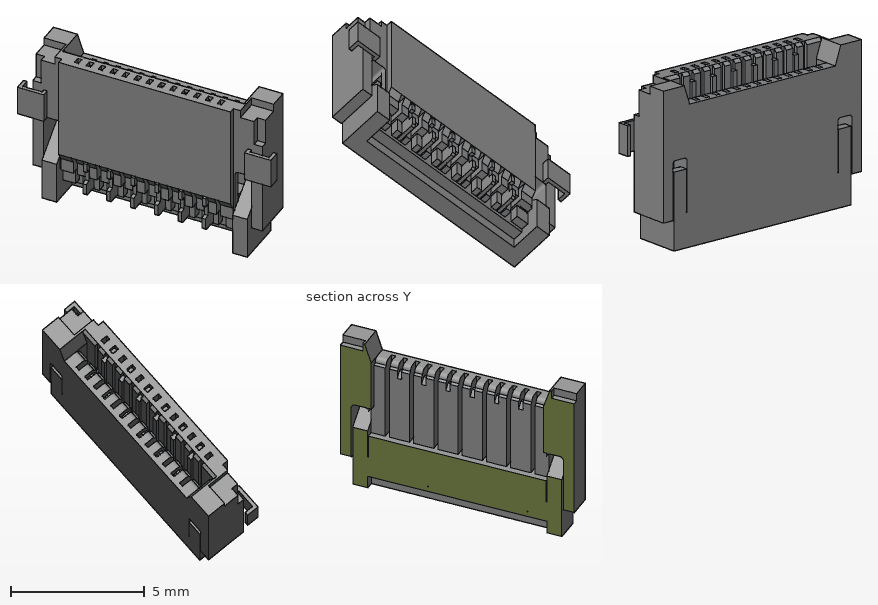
import cadquery as cq

LENGTH = 10.6
DEPTH = 2.0
HEIGHT = 6.4

BODY_HALF = 4.8
WING_FRONT = 0.29
PANEL_HALF = 3.59
PANEL_FRONT = 0.04
PANEL_BOTTOM = 2.2
CORE_HALF = 3.66
CORE_BOTTOM = 1.4
LIP_FRONT = 0.22
LIP_TOP = 1.91
LEG_INNER = 4.35
LEG_BOTTOM = 1.21
ARM_SLOT_TOP = 3.55
ARM_SLOT_RADIUS = 0.14

SIDE_POCKET_INNER = 2.81
SIDE_POCKET_FRONT = 0.52
SILL_INNER = 3.29
SILL_BACK = 0.57

NOTCH_INNER = 3.88
NOTCH_BACK = 1.22
NOTCH_DEPTH = 0.32
GROOVE_INNER = 4.45
GROOVE_BACK = 0.56
GROOVE_BOTTOM = 5.05

RECESS_TOP_HALF = 3.8
RECESS_HALF = 3.53
RECESS_FLOOR = 5.63
CABLE_FRONT = 0.89
CABLE_BACK = 1.25
CABLE_FLOOR = 2.33
LEAD_FRONT = 0.76
LEAD_BACK = 1.54
LEAD_KNEE = 1.35
LEAD_KNEE_DROP = 0.19
LEAD_END_DROP = 0.25

PITCH = 0.5
SLOT_COUNT = 13
REAR_SLOT_WIDTH = 0.17
REAR_SLOT_BACK = 1.81
EMPTY_SLOT_WIDTH = 0.17
CONTACT_SLOT_WIDTH = 0.19
FRONT_SLOT_FRONT = 0.32
FRONT_SLOT_BACK = 0.59
CONTACT_WIDTH = 0.15
CONTACT_TOP = 6.25
CONTACT_TIP = 1.0
TAIL_TOP = 1.22
TAIL_BOTTOM = 0.78
TAIL_RISE = 0.05
TAIL_BEVEL = 0.08
NECK_FRONT = 0.2
KNOB_FRONT = 0.04
KNOB_BOTTOM = 1.75
KNOB_TOP = 2.12
POST_FRONT = 0.37
FRONT_SPRING_TOP = 6.04
REAR_SPRING_TOP = 5.19
REAR_BEVEL_BACK = 1.66
REAR_BEVEL_FRONT = 1.57
REAR_BEVEL_RISE = 0.08
REAR_SPRING_NOSE = 0.15
REAR_SPRING_FRONT = 1.44

ARM_OUTER = 4.29
ARM_INNER = 3.68
ARM_FRONT_TOP = 1.73
ARM_BACK_TOP = 3.11
ARM_SLOPE_BACK = 1.64
BAR_TOP = 0.51
BAR_FRONT = 1.32
WEB_FRONT = 0.89
TOOTH_FRONT = 0.56
TOOTH_BOTTOM = 0.7
EMPTY_TOOTH_GAP = 0.31
CONTACT_TOOTH_GAP = 0.23
PIN_RADIUS = 0.33
PIN_Y = 1.48

CLIP_INNER = 4.2
CLIP_THICKNESS = 0.15
CLIP_TAB_BACK = 0.51
CLIP_TOP = 4.76


def block(x0, x1, y0, y1, z0, z1):
    """Box between two corners."""
    return cq.Workplane("XY").box(x1 - x0, y1 - y0, z1 - z0, centered=False).translate((x0, y0, z0))


def mirrored(shape):
    """The shape together with its copy at the other end of the part."""
    return shape.union(shape.mirror("YZ"))


def side_profile(half_width, points, x=0):
    """Prism along X, symmetric about the given x, with an outline of (y, z) points."""
    return cq.Workplane("YZ").polyline(points).close().extrude(half_width, both=True).translate((x, 0, 0))


def slot_positions():
    """Pairs of slot centre and whether that slot holds a contact with a tail."""
    first = -PITCH * (SLOT_COUNT - 1) / 2
    return [(first + i * PITCH, i % 2 == 1) for i in range(SLOT_COUNT)]


def housing_shell():
    body = block(-BODY_HALF, BODY_HALF, WING_FRONT, DEPTH, LEG_BOTTOM, HEIGHT)
    body = body.cut(block(-CORE_HALF, CORE_HALF, 0, DEPTH, 0, CORE_BOTTOM))
    panel = side_profile(PANEL_HALF, [
        (PANEL_FRONT, HEIGHT),
        (PANEL_FRONT, PANEL_BOTTOM),
        (LIP_FRONT, LIP_TOP),
        (LIP_FRONT, CORE_BOTTOM),
        (CABLE_FRONT, CORE_BOTTOM),
        (CABLE_FRONT, HEIGHT),
    ])
    arm_slot = block(CORE_HALF, LEG_INNER, 0, DEPTH, 0, ARM_SLOT_TOP)
    arm_slot = arm_slot.edges("|Y and >Z").fillet(ARM_SLOT_RADIUS)
    pocket = block(SIDE_POCKET_INNER, CORE_HALF, SIDE_POCKET_FRONT, CABLE_BACK, CABLE_FLOOR, ARM_SLOT_TOP)
    sill = block(SILL_INNER, CORE_HALF, SIDE_POCKET_FRONT, SILL_BACK, CORE_BOTTOM, ARM_SLOT_TOP)
    notch = block(NOTCH_INNER, BODY_HALF, 0, NOTCH_BACK, HEIGHT - NOTCH_DEPTH, HEIGHT)
    groove = block(GROOVE_INNER, BODY_HALF, 0, GROOVE_BACK, GROOVE_BOTTOM, HEIGHT)
    end_cuts = arm_slot.union(pocket).union(sill).union(notch).union(groove)
    return body.union(panel).cut(mirrored(end_cuts))


def mating_recess():
    flare = (
        cq.Workplane("XZ")
        .polyline([
            (-RECESS_TOP_HALF, HEIGHT),
            (RECESS_TOP_HALF, HEIGHT),
            (RECESS_HALF, RECESS_FLOOR),
            (-RECESS_HALF, RECESS_FLOOR),
        ])
        .close()
        .extrude(-(DEPTH - CABLE_FRONT))
        .translate((0, CABLE_FRONT, 0))
    )
    chamfer_drop = CABLE_FRONT - LEAD_FRONT
    chamfer = side_profile(RECESS_TOP_HALF, [
        (LEAD_FRONT, HEIGHT),
        (CABLE_FRONT, HEIGHT),
        (CABLE_FRONT, HEIGHT - chamfer_drop),
    ])
    knee_z = RECESS_FLOOR - LEAD_KNEE_DROP
    rear_lead = (
        cq.Workplane("YZ")
        .moveTo(CABLE_BACK, RECESS_FLOOR)
        .lineTo(LEAD_BACK, RECESS_FLOOR)
        .radiusArc((LEAD_KNEE, knee_z), -(LEAD_BACK - LEAD_KNEE))
        .lineTo(CABLE_BACK, RECESS_FLOOR - LEAD_END_DROP)
        .close()
        .extrude(RECESS_HALF, both=True)
    )
    cable = block(-RECESS_HALF, RECESS_HALF, CABLE_FRONT, CABLE_BACK, CABLE_FLOOR, RECESS_FLOOR)
    return flare.union(chamfer).union(rear_lead).union(cable)


def contact_slots(x, has_contact):
    """Openings of one contact position in the front wall and behind the cable slot."""
    half = (CONTACT_SLOT_WIDTH if has_contact else EMPTY_SLOT_WIDTH) / 2
    rear = REAR_SLOT_WIDTH / 2
    shaft_bottom = CORE_BOTTOM if has_contact else CABLE_FLOOR
    mouth_back = FRONT_SLOT_BACK if has_contact else WEB_FRONT
    shaft = block(x - half, x + half, FRONT_SLOT_FRONT, FRONT_SLOT_BACK, shaft_bottom, HEIGHT)
    mouth = block(x - half, x + half, 0, mouth_back, CORE_BOTTOM, PANEL_BOTTOM)
    spring_room = block(x - half, x + half, LEAD_FRONT, CABLE_FRONT, CABLE_FLOOR, HEIGHT)
    rear_slot = block(x - rear, x + rear, CABLE_BACK, REAR_SLOT_BACK, CABLE_FLOOR, RECESS_FLOOR)
    return shaft.union(mouth).union(spring_room).union(rear_slot)


def contact(x):
    """Contact with a soldering tail, a front spring and a rear spring."""
    tail_and_post = side_profile(CONTACT_WIDTH / 2, [
        (0, TAIL_BOTTOM),
        (0, TAIL_TOP),
        (NECK_FRONT, TAIL_TOP + TAIL_RISE),
        (NECK_FRONT, KNOB_BOTTOM),
        (KNOB_FRONT, KNOB_BOTTOM),
        (KNOB_FRONT, KNOB_TOP),
        (POST_FRONT, KNOB_TOP),
        (POST_FRONT, CONTACT_TOP),
        (FRONT_SLOT_BACK, CONTACT_TOP),
        (FRONT_SLOT_BACK, CORE_BOTTOM),
        (WEB_FRONT, CORE_BOTTOM),
        (WEB_FRONT, TOOTH_BOTTOM),
        (TAIL_BEVEL, TOOTH_BOTTOM),
    ], x)
    half = CONTACT_SLOT_WIDTH / 2
    front_spring = block(x - half, x + half, LEAD_FRONT, CONTACT_TIP, CABLE_FLOOR, FRONT_SPRING_TOP)
    rear_spring = side_profile(REAR_SLOT_WIDTH / 2, [
        (REAR_SLOT_BACK, CABLE_FLOOR),
        (REAR_SLOT_BACK, REAR_SPRING_TOP),
        (REAR_BEVEL_BACK, REAR_SPRING_TOP),
        (REAR_BEVEL_FRONT, REAR_SPRING_TOP + REAR_BEVEL_RISE),
        (REAR_SPRING_FRONT, REAR_SPRING_TOP + REAR_BEVEL_RISE),
        (CABLE_BACK, REAR_SPRING_TOP - REAR_SPRING_NOSE),
        (CABLE_BACK, CABLE_FLOOR),
    ], x)
    return tail_and_post.union(front_spring).union(rear_spring)


def actuator_body():
    arm = side_profile((ARM_OUTER - ARM_INNER) / 2, [
        (PANEL_FRONT, 0),
        (PANEL_FRONT, ARM_FRONT_TOP),
        (ARM_SLOPE_BACK, ARM_BACK_TOP),
        (DEPTH, ARM_BACK_TOP),
        (DEPTH, 0),
    ], (ARM_OUTER + ARM_INNER) / 2)
    pin = (
        cq.Workplane("YZ", origin=(ARM_OUTER, 0, 0))
        .center(PIN_Y, PANEL_BOTTOM)
        .circle(PIN_RADIUS)
        .extrude(LEG_INNER - ARM_OUTER)
    )
    bar = block(-ARM_INNER, ARM_INNER, BAR_FRONT, DEPTH, 0, BAR_TOP)
    web = block(-ARM_INNER, ARM_INNER, WEB_FRONT, DEPTH, BAR_TOP, CORE_BOTTOM)
    teeth = block(-ARM_INNER, ARM_INNER, TOOTH_FRONT, WEB_FRONT, TOOTH_BOTTOM, CORE_BOTTOM)
    return mirrored(arm.union(pin)).union(bar).union(web).union(teeth)


def tooth_gap(x, has_contact):
    half = (CONTACT_TOOTH_GAP if has_contact else EMPTY_TOOTH_GAP) / 2
    return block(x - half, x + half, TOOTH_FRONT, WEB_FRONT, TOOTH_BOTTOM, CORE_BOTTOM)


def soldering_clip():
    """Flat pad in front of the end post, with a hook at its outer end and a foot at its inner end."""
    outer = LENGTH / 2
    pad = block(CLIP_INNER, outer, 0, CLIP_THICKNESS, ARM_SLOT_TOP, CLIP_TOP)
    hook = block(outer - CLIP_THICKNESS, outer, 0, CLIP_TAB_BACK, ARM_SLOT_TOP, CLIP_TOP)
    foot = block(CLIP_INNER, CLIP_INNER + CLIP_THICKNESS, 0, WING_FRONT, ARM_SLOT_TOP, CLIP_TOP)
    return pad.union(hook).union(foot)


housing = housing_shell().cut(mating_recess())
actuator = actuator_body()
for slot_x, with_contact in slot_positions():
    housing = housing.cut(contact_slots(slot_x, with_contact))
    actuator = actuator.cut(tooth_gap(slot_x, with_contact))

result = housing.union(actuator).union(mirrored(soldering_clip()))
for slot_x, with_contact in slot_positions():
    if with_contact:
        result = result.union(contact(slot_x))